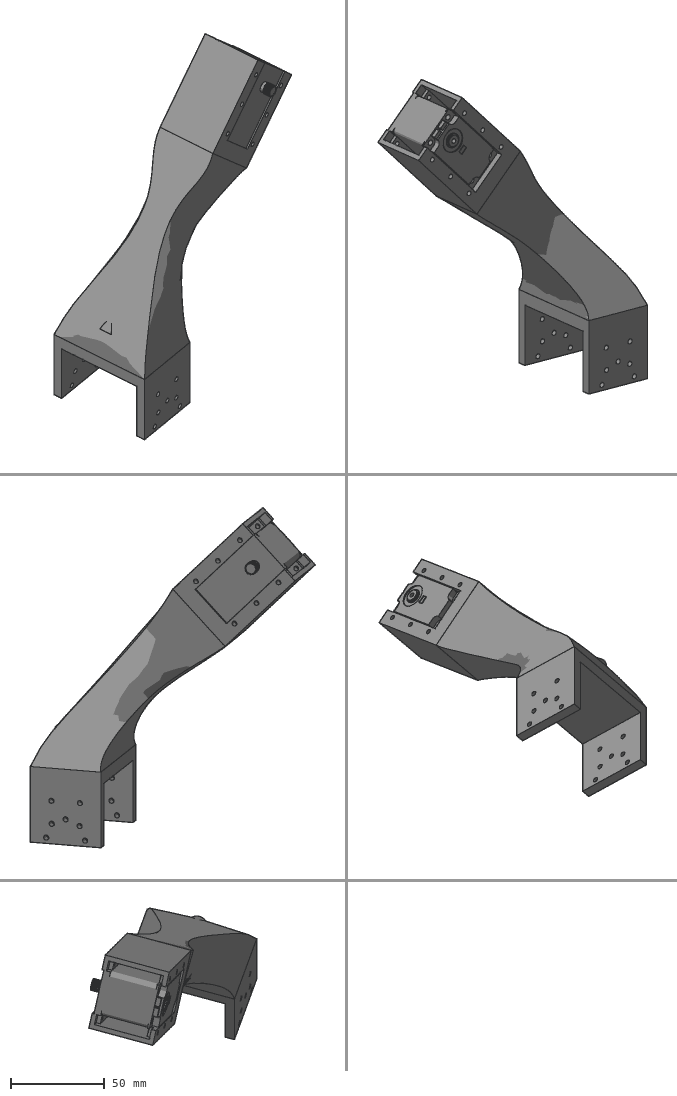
import cadquery as cq
import math

FORK_WIDTH = 61.3
FORK_DEPTH = 39.5
FORK_HEIGHT = 41.7
FORK_WALL = 5.3
SLOT_HEIGHT = 34.3
FORK_HOLE_DIAMETER = 2.7
FORK_CENTRE_HOLE_Z = 14.2
FORK_HOLE_PAIRS = [(10.9, 3.3), (7.8, 11.0), (8.0, 23.8)]

TOTAL_HEIGHT = 181.5
TOTAL_DEPTH = 144.0
HEAD_TILT = 45.0
HEAD_WIDTH = 35.7
HEAD_DEPTH = 41.4
HEAD_LENGTH = 55.3
SIDE_WALL = 2.5
FACE_WALL = 2.7
WINDOW_DEPTH = 24.7
WINDOW_LENGTH = 45.9
WALL_HOLE_DIAMETER = 2.5
WALL_HOLE_HALF_SPACING = 15.2
WALL_HOLE_PITCH = 17.5
WALL_HOLE_ROWS = 3
FIRST_WALL_HOLE = 7.6

CASE_LEFT = -14.2
CASE_RIGHT = 16.9
COVER_DEPTH = 23.5
COVER_START = 2.9
COVER_END = 42.1
CASE_CORE_HALF = 13.0
CASE_EDGE_RADIUS = 2.5
FLANGE_START = 4.7
SCREW_HALF_SPACING = 8.3
SCREW_STATIONS = (2.9, 42.1)
SCREW_DIAMETER = 2.9
SCREW_DEPTH = 3.6
NOTCH_DIAMETER = 6.0
SHAFT_STATION = 12.0
DIAL_DIAMETER = 13.0
DIAL_RECESS = 0.7
HUB_DIAMETER = 8.0
PIVOT_DIAMETER = 6.5
PIVOT_STANDOUT = 0.7
PIVOT_HOLE_DIAMETER = 2.5
PIVOT_HOLE_DEPTH = 3.6
SHAFT_DIAMETER = 6.5
SHAFT_TIP = 23.2
NECK_DIAMETER = 6.0
SPLINE_START = 18.9
SPLINE_TEETH = 24
SPLINE_DEPTH = 0.5
SOCKET_LEFT = -16.7
SOCKET_INNER = 0.5
SOCKET_OUTER = 5.3
SOCKET_TOP = 0.9
MARK_STATION = 21.5
MARK_SIZE = (4.4, 2.5)
MARK_DEPTH = 0.4

WAIST_SECTIONS = [
    ((8.7, 58.0), (43.0, 56.8), 25.4, 23.2),
    ((20.0, 72.2), (52.5, 70.5), 19.2, 14.9),
    ((42.3, 98.5), (67.0, 85.6), 9.6, 8.7),
    ((61.0, 121.0), (87.0, 100.3), 12.2, 11.8),
]
SIDE_BOWS = (1.5, 3.6, 5.3, 2.4)
FACE_BOW = 1.5
END_BOW = 0.04

PEG_DIAMETER = 10.9
PEG_LENGTH = 16.3
PEG_TILT = 48.0
PEG_END = (8.2, 52.6)

tilt = math.radians(HEAD_TILT)
head_top_y = TOTAL_DEPTH - HEAD_DEPTH / 2 * math.cos(tilt)
head_top_z = TOTAL_HEIGHT - HEAD_DEPTH / 2 * math.sin(tilt)


def box(x_range, y_range, z_range):
    """Box between two limits on each axis."""
    size = [high - low for low, high in (x_range, y_range, z_range)]
    corner = (x_range[0], y_range[0], z_range[0])
    return cq.Workplane("XY").box(*size, centered=False).translate(corner)


def rod_x(diameter, x_range, y, z):
    """Cylinder along X."""
    length = x_range[1] - x_range[0]
    solid = cq.Solid.makeCylinder(diameter / 2, length, cq.Vector(x_range[0], y, z), cq.Vector(1, 0, 0))
    return cq.Workplane(obj=solid)


def centred(size):
    """Limits of a span with its middle at zero."""
    return (-size / 2, size / 2)


def make_fork():
    """Fork with its two cheeks drilled along X."""
    fork = box(centred(FORK_WIDTH), (0, FORK_DEPTH), (0, FORK_HEIGHT))
    fork = fork.cut(box(centred(FORK_WIDTH - 2 * FORK_WALL), (0, FORK_DEPTH), (0, SLOT_HEIGHT)))
    middle = FORK_DEPTH / 2
    holes = [(middle, FORK_CENTRE_HOLE_Z)]
    for half_spacing, height in FORK_HOLE_PAIRS:
        holes += [(middle - half_spacing, height), (middle + half_spacing, height)]
    for y, z in holes:
        fork = fork.cut(rod_x(FORK_HOLE_DIAMETER, centred(FORK_WIDTH), y, z))
    return fork


def arm_section(front, back, front_half, back_half, side_bow, face_bow):
    """Closed outline of four arcs through the front and back edges of the arm."""
    run = cq.Vector(0, back[0] - front[0], back[1] - front[1]).normalized() * face_bow
    front_mid = cq.Vector(0, *front) - run
    back_mid = cq.Vector(0, *back) + run
    side_x = (front_half + back_half) / 2 + side_bow
    side_y = (front[0] + back[0]) / 2
    side_z = (front[1] + back[1]) / 2
    front_left, front_right = [cq.Vector(x, *front) for x in (-front_half, front_half)]
    back_left, back_right = [cq.Vector(x, *back) for x in (-back_half, back_half)]
    return cq.Wire.assembleEdges([
        cq.Edge.makeThreePointArc(front_left, front_mid, front_right),
        cq.Edge.makeThreePointArc(front_right, cq.Vector(side_x, side_y, side_z), back_right),
        cq.Edge.makeThreePointArc(back_right, back_mid, back_left),
        cq.Edge.makeThreePointArc(back_left, cq.Vector(-side_x, side_y, side_z), front_left),
    ])


def make_arm():
    """Waisted arm from the fork's top face to the head's base, with its peg."""
    base_y = head_top_y - HEAD_LENGTH * math.sin(tilt)
    base_z = head_top_z - HEAD_LENGTH * math.cos(tilt)
    half_y = HEAD_DEPTH / 2 * math.cos(tilt)
    half_z = HEAD_DEPTH / 2 * math.sin(tilt)
    head_front = (base_y - half_y, base_z + half_z)
    head_back = (base_y + half_y, base_z - half_z)
    fork_half = FORK_WIDTH / 2 - END_BOW
    head_half = HEAD_WIDTH / 2 - END_BOW

    sections = [arm_section((END_BOW, FORK_HEIGHT), (FORK_DEPTH - END_BOW, FORK_HEIGHT),
                            fork_half, fork_half, END_BOW, END_BOW)]
    for waist, side_bow in zip(WAIST_SECTIONS, SIDE_BOWS):
        sections.append(arm_section(*waist, side_bow, FACE_BOW))
    sections.append(arm_section(head_front, head_back, head_half, head_half, END_BOW, END_BOW))
    arm = cq.Workplane(obj=cq.Solid.makeLoft(sections))

    peg_tilt = math.radians(PEG_TILT)
    peg_axis = cq.Vector(0, math.sin(peg_tilt), math.cos(peg_tilt))
    peg = cq.Solid.makeCylinder(PEG_DIAMETER / 2, PEG_LENGTH, cq.Vector(0, *PEG_END), peg_axis)
    return arm.union(cq.Workplane(obj=peg))


def make_shell():
    """Upright head box with its open end at Z = 0."""
    shell = box(centred(HEAD_WIDTH), centred(HEAD_DEPTH), (-HEAD_LENGTH, 0))
    pocket_width = HEAD_WIDTH - 2 * SIDE_WALL
    pocket_depth = HEAD_DEPTH - 2 * FACE_WALL
    shell = shell.cut(box(centred(pocket_width), centred(pocket_depth), (-WINDOW_LENGTH, 0)))
    shell = shell.cut(box(centred(HEAD_WIDTH), centred(WINDOW_DEPTH), (-WINDOW_LENGTH, 0)))
    return shell


def make_servo_case():
    """Servo block with rounded end edges, side flanges and a cover on the -X side."""
    outer_left = -HEAD_WIDTH / 2
    case = box((CASE_LEFT, CASE_RIGHT), centred(WINDOW_DEPTH), (-WINDOW_LENGTH, 0))
    core_span = (-CASE_CORE_HALF, CASE_CORE_HALF)
    core_block = box(core_span, centred(WINDOW_DEPTH), (-WINDOW_LENGTH, 0))
    rounded = core_block.edges("|X and >Z").fillet(CASE_EDGE_RADIUS)
    case = case.cut(core_block).union(rounded)

    flange_edge = HEAD_WIDTH / 2 - SIDE_WALL
    flange_depth = HEAD_DEPTH - 2 * FACE_WALL
    for x_range in ((-flange_edge, -CASE_CORE_HALF), (CASE_CORE_HALF, flange_edge)):
        case = case.union(box(x_range, centred(flange_depth), (-WINDOW_LENGTH, -FLANGE_START)))

    case = case.cut(box((outer_left, CASE_LEFT), centred(WINDOW_DEPTH), (-WINDOW_LENGTH, 0)))
    cover_span = (outer_left, CASE_LEFT)
    cover = box(cover_span, centred(COVER_DEPTH), (-COVER_END, -COVER_START))
    screws = [(side, station) for side in (-1, 1) for station in SCREW_STATIONS]
    for side, station in screws:
        y = side * SCREW_HALF_SPACING
        cover = cover.cut(rod_x(NOTCH_DIAMETER, cover_span, y, -station))
        corner = cq.Workplane("XY").box(HEAD_WIDTH, COVER_DEPTH, NOTCH_DIAMETER)
        cover = cover.cut(corner.translate((0, y + side * COVER_DEPTH / 2, -station)))
    case = case.union(cover)
    for side, station in screws:
        hole_span = (CASE_LEFT, CASE_LEFT + SCREW_DEPTH)
        case = case.cut(rod_x(SCREW_DIAMETER, hole_span, side * SCREW_HALF_SPACING, -station))

    for side in (-1, 1):
        y_range = sorted((side * SOCKET_INNER, side * SOCKET_OUTER))
        case = case.union(box((SOCKET_LEFT, CASE_LEFT), y_range, (-COVER_START, -SOCKET_TOP)))

    mark = cq.Workplane("XY").box(2 * MARK_DEPTH, *MARK_SIZE)
    return case.cut(mark.translate((outer_left, 0, -MARK_STATION)))


def make_spline():
    """Toothed end of the output shaft, along X from the origin."""
    points = []
    for step in range(2 * SPLINE_TEETH):
        radius = SHAFT_DIAMETER / 2 - SPLINE_DEPTH * (step % 2)
        angle = math.pi * step / SPLINE_TEETH
        points.append((radius * math.cos(angle), radius * math.sin(angle)))
    return cq.Workplane("YZ").polyline(points).close().extrude(SHAFT_TIP - SPLINE_START)


def add_servo_axis(case):
    """Dial, pivot and output shaft on the servo's turning axis."""
    outer_left = -HEAD_WIDTH / 2
    z = -SHAFT_STATION
    recess_span = (outer_left, outer_left + DIAL_RECESS)
    pivot_span = (outer_left - PIVOT_STANDOUT, outer_left + DIAL_RECESS)
    hole_span = (outer_left - PIVOT_STANDOUT, outer_left + PIVOT_HOLE_DEPTH)
    case = case.cut(rod_x(DIAL_DIAMETER, recess_span, 0, z))
    case = case.union(rod_x(HUB_DIAMETER, recess_span, 0, z))
    case = case.union(rod_x(PIVOT_DIAMETER, pivot_span, 0, z))
    case = case.cut(rod_x(PIVOT_HOLE_DIAMETER, hole_span, 0, z))
    case = case.union(rod_x(NECK_DIAMETER, (CASE_RIGHT, SPLINE_START), 0, z))
    return case.union(make_spline().translate((SPLINE_START, 0, z)))


def make_head():
    """Upright head with its servo and the mounting holes right through both."""
    head = make_shell().union(add_servo_axis(make_servo_case()))
    for row in range(WALL_HOLE_ROWS):
        for y in (-WALL_HOLE_HALF_SPACING, WALL_HOLE_HALF_SPACING):
            z = -FIRST_WALL_HOLE - row * WALL_HOLE_PITCH
            head = head.cut(rod_x(WALL_HOLE_DIAMETER, centred(HEAD_WIDTH), y, z))
    return head


head = make_head()
head = head.rotate((0, 0, 0), (1, 0, 0), -HEAD_TILT).translate((0, head_top_y, head_top_z))

result = make_fork().union(make_arm()).union(head)